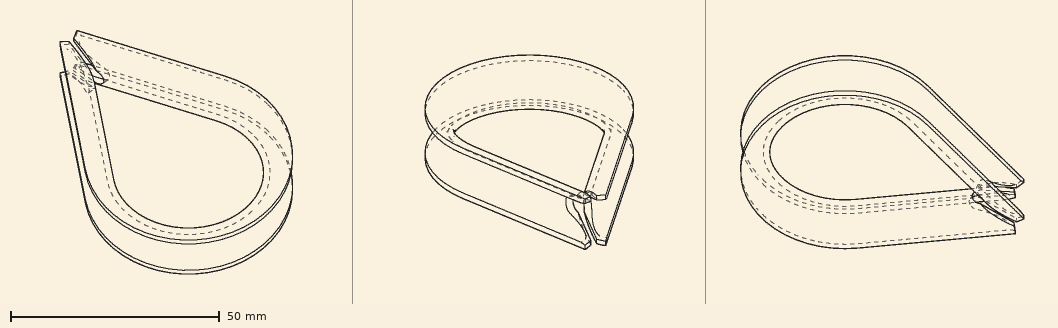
import cadquery as cq
import math

length = 70.4
rim_radius = 25.0
pipe_radius = 7.005
groove_radius = 5.4
leg_slope = 30.0
gap = 1.5
notch_depth = 11.75
notch_nose_radius = 2.45
notch_slope = 19.0

slope = math.radians(leg_slope)
bend_x = length / 2 - rim_radius
tangent_x = bend_x - rim_radius * math.sin(slope)
tangent_y = rim_radius * math.cos(slope)
leg_length = (tangent_x + length / 2) / math.cos(slope)
bend_angle = 180 + 2 * leg_slope


def half_pipe_section(workplane):
    """C-shaped section, opening outwards at the rim; local X points outwards."""
    return (
        workplane.moveTo(0, -pipe_radius)
        .threePointArc((-pipe_radius, 0), (0, pipe_radius))
        .lineTo(0, groove_radius)
        .threePointArc((-groove_radius, 0), (0, -groove_radius))
        .close()
    )


def section_plane(side):
    """Plane across the pipe where a leg meets the bend; side is +1 or -1 in Y."""
    outward = (-math.sin(slope), side * math.cos(slope), 0)
    along_leg = (-math.cos(slope), -side * math.sin(slope), 0)
    return cq.Plane((tangent_x, side * tangent_y, 0), outward, along_leg)


def leg(side):
    """Straight half-pipe, trimmed flat beside the gap."""
    straight = half_pipe_section(cq.Workplane(section_plane(side))).extrude(leg_length)
    own_half = cq.Workplane("XY").box(2 * length, length, length).translate(
        (0, side * (length + gap) / 2, 0)
    )
    return straight.intersect(own_half)


def bend():
    """Round end, swept about the Z axis through the bend centre."""
    section = half_pipe_section(cq.Workplane("XZ", origin=(rim_radius, 0, 0)))
    ring = section.revolve(bend_angle, (-rim_radius, -0.7, 0), (-rim_radius, 0.7, 0))
    start = math.degrees(math.atan2(ring.val().Center().y, ring.val().Center().x))
    return ring.rotate((0, 0, 0), (0, 0, 1), -start).translate((bend_x, 0, 0))


def tip_notch():
    """Tapered, round-nosed notch running through both leg ends along Y."""
    angle = math.radians(notch_slope)
    nose_x = -length / 2 + notch_depth
    nose_center_x = nose_x - notch_nose_radius
    side_x = nose_center_x + notch_nose_radius * math.sin(angle)
    side_z = notch_nose_radius * math.cos(angle)
    mouth_x = -length / 2
    mouth_z = side_z + (side_x - mouth_x) * math.tan(angle)
    return (
        cq.Workplane("XZ")
        .moveTo(mouth_x, -mouth_z)
        .lineTo(side_x, -side_z)
        .threePointArc((nose_x, 0), (side_x, side_z))
        .lineTo(mouth_x, mouth_z)
        .close()
        .extrude(rim_radius, both=True)
    )


result = bend().union(leg(1)).union(leg(-1)).cut(tip_notch())